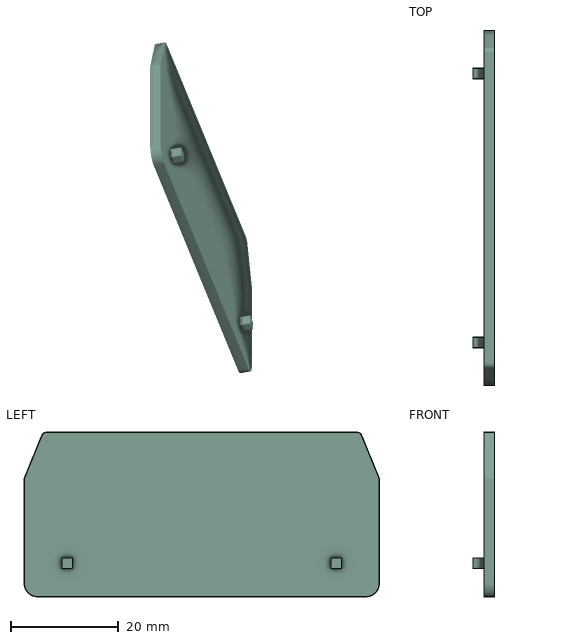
import cadquery as cq

plate_thickness = 2.0
plate_width = 66.0
plate_height = 30.6
shoulder_height = 22.0
shoulder_inset = 3.53
shoulder_radius = 1.0
bottom_corner_radius = 2.5

peg_length = 2.05
peg_size = 2.0
peg_spacing = 50.0
peg_center_height = 6.25
peg_edge_radius = 0.2

position_tolerance = 1e-3

half_width = plate_width / 2
top_half_width = half_width - shoulder_inset


def corner_edges(solid, y, z):
    """Select the X-parallel plate edges at (+y, z) and (-y, z)."""
    edges = solid.edges("|X")
    return edges.filter(
        lambda edge: abs(abs(edge.Center().y) - y) < position_tolerance
        and abs(edge.Center().z - z) < position_tolerance
    )


def make_plate():
    outline = [
        (-half_width, 0),
        (half_width, 0),
        (half_width, shoulder_height),
        (top_half_width, plate_height),
        (-top_half_width, plate_height),
        (-half_width, shoulder_height),
    ]
    plate = cq.Workplane("YZ").polyline(outline).close().extrude(plate_thickness)
    plate = corner_edges(plate, half_width, 0).fillet(bottom_corner_radius)
    plate = corner_edges(plate, half_width, shoulder_height).fillet(shoulder_radius)
    return corner_edges(plate, top_half_width, plate_height).fillet(shoulder_radius)


def make_peg(center_y):
    return (
        cq.Workplane("YZ")
        .center(center_y, peg_center_height)
        .rect(peg_size, peg_size)
        .extrude(-peg_length)
        .edges("|X")
        .fillet(peg_edge_radius)
    )


result = make_plate()
for side in (-1, 1):
    result = result.union(make_peg(side * peg_spacing / 2))